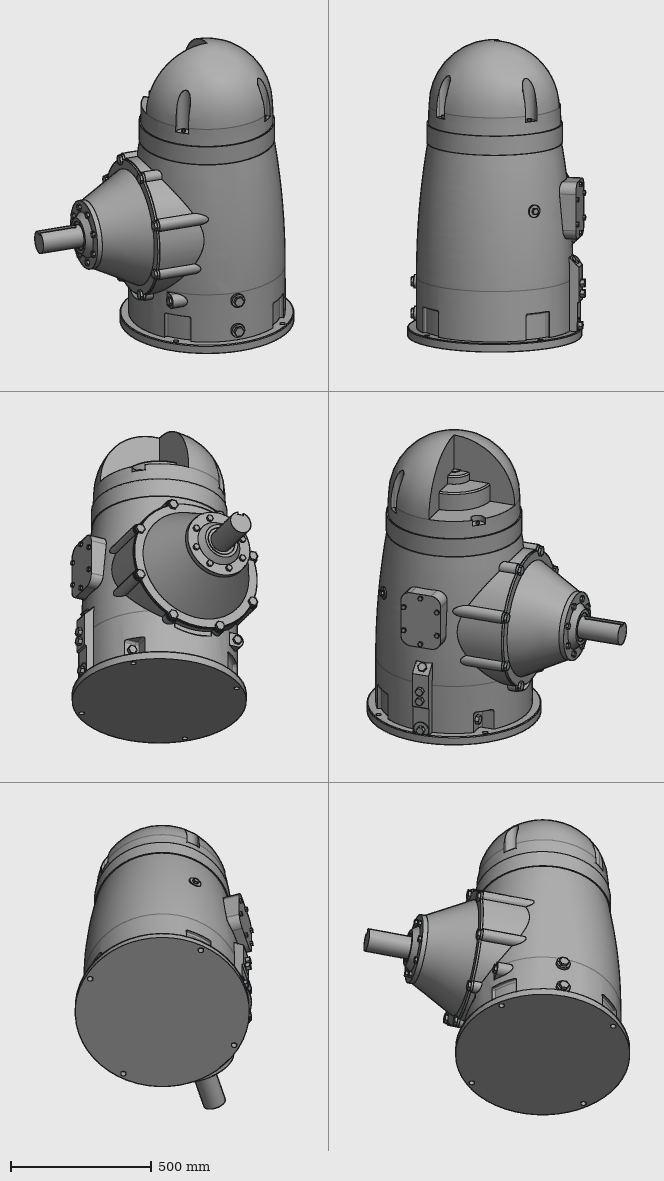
import cadquery as cq
import math


FLANGE_RADIUS = 310.0
FLANGE_HEIGHT = 31.0
FLANGE_CHAMFER = 3.0
BODY_RADIUS = 279.0
TAPER_START = 214.0
TAPER_TOP_RADIUS = 239.0
COLLAR_RADIUS = 242.0
COLLAR_BOTTOM = 701.0
COLLAR_TOP = 770.0
TAPER_NARROWING = BODY_RADIUS - TAPER_TOP_RADIUS
TAPER_HEIGHT = COLLAR_BOTTOM - TAPER_START
BULGE_RADIUS = (TAPER_HEIGHT**2 + TAPER_NARROWING**2) / (2 * TAPER_NARROWING)
CAP_BOTTOM_RADIUS = 236.0
TOTAL_HEIGHT = 1070.0
DOME_RADIUS = 234.0
DOME_BASE = TOTAL_HEIGHT - DOME_RADIUS

HUB_STEPS = ((138.0, 904.0), (60.0, 935.0))
HUB_CHAMFER = 5.0
HUB_TIP_RADIUS = 25.0
HUB_TIP_HEIGHT = 3.0

DOME_POCKET_CIRCLE = 220.0
DOME_POCKET_RADIUS = 25.0
DOME_POCKET_FLOOR = 814.0
DOME_SCREW_SIZE = 14.0
DOME_SCREW_HEIGHT = 9.0

BASE_HOLE_CIRCLE = 291.0
BASE_HOLE_RADIUS = 10.0
RECESS_TOP = 126.0
RECESS_WIDTH = 101.0
RECESS_BACK_RADIUS = 265.0
RECESS_FILLET = 6.0
CORNER_RECESS_WALL = 168.0
CORNER_RECESS_TOP = 109.0
CORNER_RECESS_FILLET = 11.0
CORNER_RECESS_TOP_FILLET = 9.0
CORNER_BOLT_X = -196.0
CORNER_BOLT_Z = 72.0

PORT_Z = 405.0
PORT_RADIUS = 247.0
PORT_FACE = 285.0
LUG_COUNT = 8
FIRST_LUG_ANGLE = 22.5
LUG_CIRCLE = 243.0
LUG_RADIUS = 22.0
COVER_FACE = 292.0
COVER_INSET = 3.0
CONE_BASE_RADIUS = 211.0
CONE_END = 456.0
END_PLATE_RADIUS = 124.0
END_PLATE_FACE = 474.0
NECK_BASE_RADIUS = 83.0
NECK_TIP_RADIUS = 64.0
NECK_END = 496.0
SEAL_RADIUS = 52.0
SEAL_DEPTH = 4.0
SHAFT_RADIUS = 41.0
SHAFT_END = 648.0
KEYWAY_WIDTH = 21.0
KEYWAY_START = 506.0
KEYWAY_FLOOR = 31.0
END_BOLT_CIRCLE = 100.0
RELIEF_INNER_RADIUS = 246.0
RELIEF_SHELF_RADIUS = 265.0
RELIEF_OUTER_RADIUS = 274.0
RELIEF_INNER_FACE = 265.0
RELIEF_SHELF_FACE = 267.0
RELIEF_WIDTH = 147.0

COVER_BOLT = (35.0, 10.0)
END_BOLT = (24.0, 9.0)
BOX_BOLT = (18.0, 7.0)
STRIP_BOLT = (30.0, 15.0)
CORNER_BOLT = (33.0, 14.0)
LOW_BOLT = (33.0, 9.0)
PLUG_BOLT = (36.0, 11.0)
BOLT_EMBED = 5.0

BOX_FACE = 309.0
BOX_WIDTH = 154.0
BOX_BOTTOM = 368.0
BOX_TOP = 575.0
BOX_CORNER = 37.0
BOX_BOLT_Y = 64.0
BOX_SIDE_BOLT_Z = 45.0
BOX_END_BOLT_Z = 89.0
BOX_ROOT = 214.0

STRIP_WIDTH = 62.0
STRIP_FACE = 312.0
STRIP_FOOT_FACE = 306.0
STRIP_STEP_Z = 133.0
STRIP_STEP_TOP_Z = 137.0
STRIP_SLOPE_START = 263.0
STRIP_TOP = 303.0
STRIP_ROOT = 257.0
STRIP_BOLT_HEIGHTS = (164.0, 201.0)
FOOT_BOLT_Z = 47.0
SPOTFACE_RADIUS = 29.0
SPOTFACE_DEPTH = 2.0

PLUG_HEIGHTS = (70.0, 185.0)
PLUG_WASHER_RADIUS = 25.0
PLUG_WASHER_FACE = 290.0
PLUG_WASHER_ROOT = 269.0
PAD_X = 197.0
PAD_Z = 184.0
PAD_RADIUS = 26.0
PAD_LEFT_X = 167.0
UPPER_PLUG_ANGLE = 132.7
UPPER_PLUG_Z = 495.0
UPPER_PLUG_RADIUS = 22.0
UPPER_PLUG_RISE = 4.0


def turned(points):
    """Solid of revolution about Z from (radius, height) points."""
    return cq.Workplane("XZ").polyline(points).close().revolve(360, (0, 0, 0), (0, 1, 0))


def port_turned(points):
    """Solid of revolution about the port axis from (radius, distance along -Y) points."""
    return turned(points).rotate((0, 0, 0), (1, 0, 0), 90).translate((0, 0, PORT_Z))


def facing(origin, normal):
    """Workplane at a point, with its outward normal given and its local x kept horizontal."""
    horizontal = (-normal[1], normal[0], 0)
    return cq.Workplane(cq.Plane(origin=origin, xDir=horizontal, normal=normal))


def bolt_head(origin, normal, size):
    """Hexagon head standing on a face and sunk slightly into it."""
    across, height = size
    sunk_plane = facing(origin, normal).workplane(offset=-BOLT_EMBED)
    return sunk_plane.polygon(6, across).extrude(height + BOLT_EMBED)


def circle_points(radius, count, first_angle):
    """Evenly spaced points on a circle, angles in degrees."""
    angles = [math.radians(first_angle + 360 * i / count) for i in range(count)]
    return [(radius * math.cos(a), radius * math.sin(a)) for a in angles]


def main_body():
    profile = (
        cq.Workplane("XZ")
        .lineTo(FLANGE_RADIUS, 0)
        .lineTo(FLANGE_RADIUS, FLANGE_HEIGHT - FLANGE_CHAMFER)
        .lineTo(FLANGE_RADIUS - FLANGE_CHAMFER, FLANGE_HEIGHT)
        .lineTo(BODY_RADIUS, FLANGE_HEIGHT)
        .lineTo(BODY_RADIUS, TAPER_START)
        .radiusArc((TAPER_TOP_RADIUS, COLLAR_BOTTOM), -BULGE_RADIUS)
        .lineTo(COLLAR_RADIUS, COLLAR_BOTTOM)
        .lineTo(COLLAR_RADIUS, COLLAR_TOP)
        .lineTo(CAP_BOTTOM_RADIUS, COLLAR_TOP)
        .lineTo(DOME_RADIUS, DOME_BASE)
        .radiusArc((0, TOTAL_HEIGHT), -DOME_RADIUS)
        .close()
    )
    return profile.revolve(360, (0, 0, 0), (0, 1, 0))


def hub():
    solid = None
    for radius, top in HUB_STEPS:
        step = cq.Workplane("XY").workplane(offset=DOME_BASE).circle(radius).extrude(top - DOME_BASE)
        step = step.faces(">Z").chamfer(HUB_CHAMFER)
        solid = step if solid is None else solid.union(step)
    return solid.faces(">Z").workplane().circle(HUB_TIP_RADIUS).extrude(HUB_TIP_HEIGHT)


def open_dome_quarter(body):
    quarter = cq.Workplane("XY").box(DOME_RADIUS, DOME_RADIUS, DOME_RADIUS, centered=False)
    quarter = quarter.translate((-DOME_RADIUS, -DOME_RADIUS, DOME_BASE))
    return body.cut(quarter.cut(hub()))


def dome_screw_pocket():
    """Upright pocket on the +X side, round at its inner end and open outward."""
    floor = cq.Workplane("XY", origin=(0, 0, DOME_POCKET_FLOOR))
    return (
        floor.moveTo(DOME_RADIUS + DOME_POCKET_RADIUS, -DOME_POCKET_RADIUS)
        .lineTo(DOME_POCKET_CIRCLE, -DOME_POCKET_RADIUS)
        .threePointArc((DOME_POCKET_CIRCLE - DOME_POCKET_RADIUS, 0), (DOME_POCKET_CIRCLE, DOME_POCKET_RADIUS))
        .lineTo(DOME_RADIUS + DOME_POCKET_RADIUS, DOME_POCKET_RADIUS)
        .close()
        .extrude(TOTAL_HEIGHT - DOME_POCKET_FLOOR)
    )


def dome_screws(body):
    for angle in (45, 135, 225, 315):
        body = body.cut(dome_screw_pocket().rotate((0, 0, 0), (0, 0, 1), angle))
    for x, y in circle_points(DOME_POCKET_CIRCLE, 4, 45):
        place = (x, y, DOME_POCKET_FLOOR - BOLT_EMBED)
        head = cq.Workplane("XY", origin=place).polygon(6, DOME_SCREW_SIZE)
        body = body.union(head.extrude(DOME_SCREW_HEIGHT + BOLT_EMBED))
    return body


def base_recess():
    """Radial recess with a round back, cut into the body on the +X side."""
    height = RECESS_TOP - FLANGE_HEIGHT
    block = cq.Workplane("XY").workplane(offset=FLANGE_HEIGHT)
    core = block.circle(RECESS_BACK_RADIUS).extrude(height)
    block = block.center(FLANGE_RADIUS / 2, 0).rect(FLANGE_RADIUS, RECESS_WIDTH).extrude(height)
    block = block.cut(core).edges("|Z and <X").fillet(RECESS_FILLET)
    return block.faces(">Z").edges("not >X").fillet(RECESS_FILLET)


def corner_recess():
    """Square recess at the -X -Y corner."""
    depth = FLANGE_RADIUS - CORNER_RECESS_WALL
    block = cq.Workplane("XY").box(depth, depth, CORNER_RECESS_TOP - FLANGE_HEIGHT, centered=False)
    block = block.translate((-FLANGE_RADIUS, -FLANGE_RADIUS, FLANGE_HEIGHT))
    block = block.edges("|Z and >X and >Y").fillet(CORNER_RECESS_FILLET)
    return block.faces(">Z").edges("not(<X or <Y)").fillet(CORNER_RECESS_TOP_FILLET)


def base_details(body):
    holes = cq.Workplane("XY").pushPoints(circle_points(BASE_HOLE_CIRCLE, 4, 45))
    body = body.cut(holes.circle(BASE_HOLE_RADIUS).extrude(FLANGE_HEIGHT))
    for angle in (-45, 45, 135):
        body = body.cut(base_recess().rotate((0, 0, 0), (0, 0, 1), angle))
    body = body.cut(corner_recess())
    bolt_place = (CORNER_BOLT_X, -CORNER_RECESS_WALL, CORNER_BOLT_Z)
    return body.union(bolt_head(bolt_place, (0, -1, 0), CORNER_BOLT))


def port_plate(start, end, inset):
    """Round plate with bolt lugs around the port axis, from start to end along -Y."""
    plane = cq.Workplane("XZ", origin=(0, 0, PORT_Z)).workplane(offset=start)
    plate = plane.circle(PORT_RADIUS - inset).extrude(end - start)
    lugs = plane.pushPoints(circle_points(LUG_CIRCLE, LUG_COUNT, FIRST_LUG_ANGLE))
    return plate.union(lugs.circle(LUG_RADIUS - inset).extrude(end - start))


def input_port(body):
    body = body.union(port_plate(0, PORT_FACE, 0))
    return body.union(port_plate(PORT_FACE, COVER_FACE, COVER_INSET))


def port_relief():
    """Sloped clearance cut below the port plate."""
    cutter = port_turned([
        (RELIEF_INNER_RADIUS, RELIEF_INNER_FACE),
        (RELIEF_SHELF_RADIUS, RELIEF_SHELF_FACE),
        (RELIEF_OUTER_RADIUS, BODY_RADIUS),
        (RELIEF_INNER_RADIUS, BODY_RADIUS),
    ])
    window = cq.Workplane("XY").box(RELIEF_WIDTH, 2 * FLANGE_RADIUS, PORT_Z, centered=(True, True, False))
    return cutter.intersect(window)


def cover_and_shaft():
    solid = port_turned([
        (0, PORT_FACE),
        (CONE_BASE_RADIUS, PORT_FACE),
        (CONE_BASE_RADIUS, COVER_FACE),
        (END_PLATE_RADIUS, CONE_END),
        (END_PLATE_RADIUS, END_PLATE_FACE),
        (NECK_BASE_RADIUS, END_PLATE_FACE),
        (NECK_TIP_RADIUS, NECK_END),
        (SEAL_RADIUS, NECK_END),
        (SEAL_RADIUS, NECK_END - SEAL_DEPTH),
        (SHAFT_RADIUS, NECK_END - SEAL_DEPTH),
        (SHAFT_RADIUS, SHAFT_END),
        (0, SHAFT_END),
    ])
    keyway_end_y = -KEYWAY_START - KEYWAY_WIDTH / 2
    keyway = (
        cq.Workplane("XY", origin=(0, 0, PORT_Z + KEYWAY_FLOOR))
        .moveTo(-KEYWAY_WIDTH / 2, -SHAFT_END)
        .lineTo(-KEYWAY_WIDTH / 2, keyway_end_y)
        .threePointArc((0, -KEYWAY_START), (KEYWAY_WIDTH / 2, keyway_end_y))
        .lineTo(KEYWAY_WIDTH / 2, -SHAFT_END)
        .close()
        .extrude(SHAFT_RADIUS)
    )
    return solid.cut(keyway)


def port_bolts(body):
    rings = ((LUG_CIRCLE, COVER_FACE, COVER_BOLT), (END_BOLT_CIRCLE, END_PLATE_FACE, END_BOLT))
    for radius, face, size in rings:
        for x, z in circle_points(radius, LUG_COUNT, FIRST_LUG_ANGLE):
            body = body.union(bolt_head((x, -face, PORT_Z + z), (0, -1, 0), size))
    return body


def terminal_box(body):
    middle_z = (BOX_BOTTOM + BOX_TOP) / 2
    box = cq.Workplane("XY").box(BOX_FACE - BOX_ROOT, BOX_WIDTH, BOX_TOP - BOX_BOTTOM)
    box = box.edges("|X").fillet(BOX_CORNER)
    body = body.union(box.translate((-(BOX_FACE + BOX_ROOT) / 2, 0, middle_z)))
    places = [(0, BOX_END_BOLT_Z), (0, -BOX_END_BOLT_Z)]
    places += [(y, z) for y in (-BOX_BOLT_Y, BOX_BOLT_Y) for z in (-BOX_SIDE_BOLT_Z, BOX_SIDE_BOLT_Z)]
    for y, z in places:
        body = body.union(bolt_head((-BOX_FACE, y, middle_z + z), (-1, 0, 0), BOX_BOLT))
    return body


def side_strip(body):
    slope_top_x = -(STRIP_FACE - (STRIP_TOP - STRIP_SLOPE_START))
    outline = [
        (-STRIP_ROOT, 0),
        (-STRIP_FOOT_FACE, 0),
        (-STRIP_FOOT_FACE, STRIP_STEP_Z),
        (-STRIP_FACE, STRIP_STEP_TOP_Z),
        (-STRIP_FACE, STRIP_SLOPE_START),
        (slope_top_x, STRIP_TOP),
        (-STRIP_ROOT, STRIP_TOP),
    ]
    strip = cq.Workplane("XZ").polyline(outline).close().extrude(STRIP_WIDTH / 2, both=True)
    body = body.union(strip)

    spot_place = (-STRIP_FOOT_FACE + SPOTFACE_DEPTH, 0, FOOT_BOLT_Z)
    spotface = facing(spot_place, (-1, 0, 0)).circle(SPOTFACE_RADIUS).extrude(SPOTFACE_DEPTH)
    above_flange = cq.Workplane("XY", origin=(0, 0, FLANGE_HEIGHT)).box(
        2 * STRIP_FACE, STRIP_WIDTH, STRIP_TOP, centered=(True, True, False)
    )
    body = body.cut(spotface.intersect(above_flange))
    body = body.union(bolt_head(spot_place, (-1, 0, 0), STRIP_BOLT))
    for z in STRIP_BOLT_HEIGHTS:
        body = body.union(bolt_head((-STRIP_FACE, 0, z), (-1, 0, 0), STRIP_BOLT))
    slope_middle = ((slope_top_x - STRIP_FACE) / 2, 0, (STRIP_SLOPE_START + STRIP_TOP) / 2)
    return body.union(bolt_head(slope_middle, (-1, 0, 1), LOW_BOLT))


def plugs(body):
    for z in PLUG_HEIGHTS:
        base = facing((PLUG_WASHER_ROOT, 0, z), (1, 0, 0))
        body = body.union(base.circle(PLUG_WASHER_RADIUS).extrude(PLUG_WASHER_FACE - PLUG_WASHER_ROOT))
        body = body.union(bolt_head((PLUG_WASHER_FACE, 0, z), (1, 0, 0), PLUG_BOLT))

    bulge_rise = math.sqrt(BULGE_RADIUS**2 - (UPPER_PLUG_Z - TAPER_START) ** 2)
    radius = BODY_RADIUS - BULGE_RADIUS + bulge_rise
    angle = math.radians(UPPER_PLUG_ANGLE)
    normal = (math.cos(angle), math.sin(angle), 0)
    place = (radius * normal[0], radius * normal[1], UPPER_PLUG_Z)
    washer = facing(place, normal).circle(UPPER_PLUG_RADIUS).extrude(UPPER_PLUG_RISE, both=True)
    washer_face = tuple(c + n * UPPER_PLUG_RISE for c, n in zip(place, normal))
    return body.union(washer).union(bolt_head(washer_face, normal, END_BOLT))


def round_pad(body):
    """Pad with a round end, level with the body surface along its straight side."""
    face = math.sqrt(BODY_RADIUS**2 - PAD_LEFT_X**2)
    pad = (
        cq.Workplane("XZ", origin=(0, 0, PAD_Z))
        .moveTo(PAD_LEFT_X, -PAD_RADIUS)
        .lineTo(PAD_X, -PAD_RADIUS)
        .threePointArc((PAD_X + PAD_RADIUS, 0), (PAD_X, PAD_RADIUS))
        .lineTo(PAD_LEFT_X, PAD_RADIUS)
        .close()
        .extrude(face)
    )
    return body.union(pad).union(bolt_head((PAD_X, -face, PAD_Z), (0, -1, 0), LOW_BOLT))


housing = open_dome_quarter(main_body())
housing = dome_screws(housing)
housing = base_details(housing)
housing = housing.cut(port_relief())
housing = input_port(housing)
housing = housing.union(cover_and_shaft())
housing = port_bolts(housing)
housing = terminal_box(housing)
housing = side_strip(housing)
housing = plugs(housing)
result = round_pad(housing)